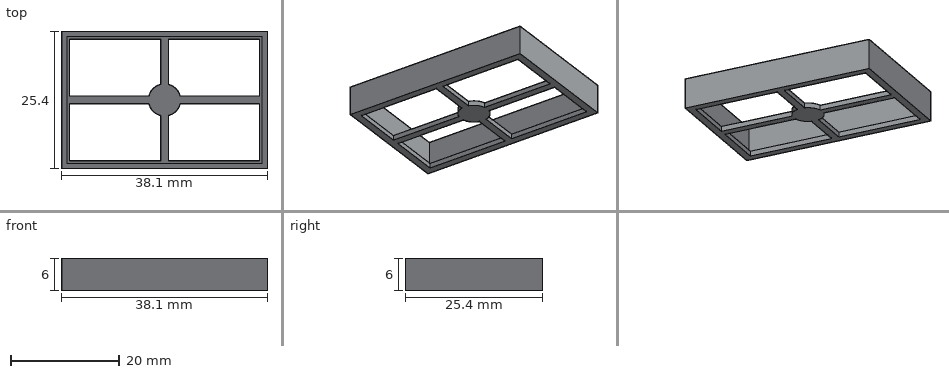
import cadquery as cq

length = 38.1
width = 25.4
height = 6.0
wall = 1.0
floor_thickness = 1.0
ledge = 0.5
rib_width = 1.5
hub_diameter = 6.0

inner_length = length - 2 * wall
inner_width = width - 2 * wall
opening_length = inner_length - 2 * ledge
opening_width = inner_width - 2 * ledge


def block(size_x, size_y, size_z):
    """Block centred on the Z axis, standing on the base plane."""
    return cq.Workplane("XY").box(size_x, size_y, size_z, centered=(True, True, False))


cavity = block(inner_length, inner_width, height).translate((0, 0, floor_thickness))
opening = block(opening_length, opening_width, height)
frame = block(length, width, height).cut(cavity).cut(opening)

rib_along_x = block(inner_length, rib_width, floor_thickness)
rib_along_y = block(rib_width, inner_width, floor_thickness)
hub = cq.Workplane("XY").circle(hub_diameter / 2).extrude(floor_thickness)

result = frame.union(rib_along_x).union(rib_along_y).union(hub).clean()